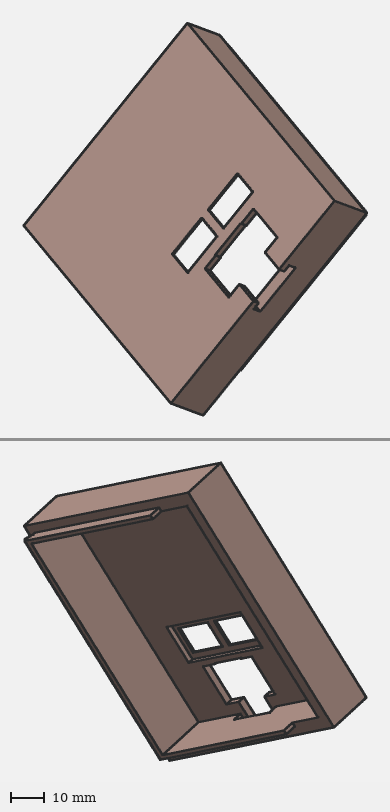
import cadquery as cq

width = 85.0
length = 80.0
depth = 15.8
wall = 4.25
plate = 2.55
tilt = 45.0

lip_inset = 2.9
lip_height = 4.2
lip_lower_end = 16.7
lip_upper_end = length - lip_inset

bead_reach = 1.9
bead_start = 0.85
bead_tip_chamfer = 0.9
bead_flank = bead_start + bead_reach

window_left = 50.15
window_width = 8.8
window_length = 14.3
window_bottom = 30.2
window_gap = 3.2
window_plate = 0.7
recess_margin = 2.0

opening_left = 63.15
opening_width = 13.7
opening_bottom = 35.2
opening_length = 23.6
slot_left = 62.9
slot_bottom = 40.4
slot_length = 12.5
slot_depth = 5.7
undercut = 2.4


def block(x, y, z, size_x, size_y, size_z):
    """Box placed by its lowest corner."""
    return cq.Workplane("XY").box(size_x, size_y, size_z, centered=False).translate((x, y, z))


def make_shell():
    outer = block(0, 0, 0, width, length, depth)
    cavity = block(wall, wall, 0, width - 2 * wall, length - 2 * wall, depth - plate)
    return outer.cut(cavity)


def make_lip():
    """Two side rails joined by a bar at the upper end; its root is bonded to the walls."""
    lip_length = lip_upper_end - lip_lower_end
    lip = block(lip_inset, lip_lower_end, -lip_height, width - 2 * lip_inset, lip_length, lip_height)
    inner_length = length - wall - lip_lower_end
    return lip.cut(block(wall, lip_lower_end, -lip_height, width - 2 * wall, inner_length, lip_height))


def make_bead():
    outline = [
        (lip_upper_end, -bead_start),
        (lip_upper_end + bead_reach, -bead_flank),
        (lip_upper_end + bead_reach, bead_tip_chamfer - lip_height),
        (lip_upper_end + bead_reach - bead_tip_chamfer, -lip_height),
        (lip_upper_end, -lip_height),
    ]
    bead = cq.Workplane("YZ").polyline(outline).close().extrude(width - 2 * lip_inset)
    return bead.translate((lip_inset, 0, 0))


def cut_small_windows(body):
    pair_length = 2 * window_length + window_gap
    recess = block(
        window_left - recess_margin,
        window_bottom - recess_margin,
        depth - plate,
        window_width + 2 * recess_margin,
        pair_length + 2 * recess_margin,
        plate - window_plate,
    )
    body = body.cut(recess)
    for index in range(2):
        bottom = window_bottom + index * (window_length + window_gap)
        body = body.cut(block(window_left, bottom, depth - plate, window_width, window_length, plate))
    return body


def cut_opening_and_slot(body):
    opening = block(opening_left, opening_bottom, depth - plate, opening_width, opening_length, plate)
    slot = block(slot_left, slot_bottom, depth - slot_depth, width - slot_left, slot_length, slot_depth)
    wide_slot = block(
        width - wall,
        slot_bottom - undercut,
        depth - slot_depth,
        wall,
        slot_length + 2 * undercut,
        slot_depth - plate,
    )
    return body.cut(opening).cut(slot).cut(wide_slot)


body = make_shell().union(make_lip()).union(make_bead())
body = cut_small_windows(body)
body = cut_opening_and_slot(body)

result = body.rotate((0, 0, 0), (1, 0, 0), tilt)